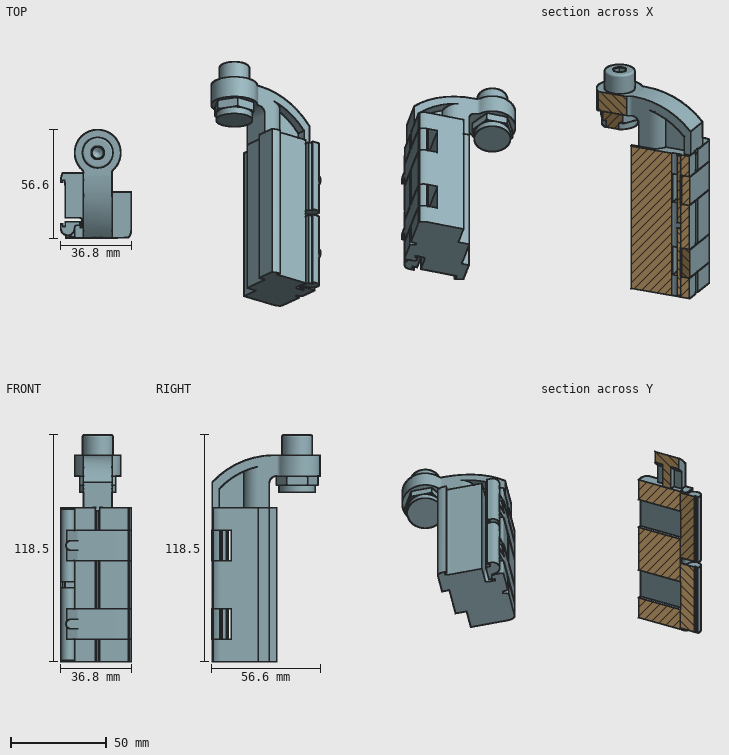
import cadquery as cq
import math


total_height = 118.5
housing_height = 80.5
arm_top = 108.0

left_x = -19.3
right_x = 17.5
housing_back_y = -10.5
shoulder_y = -20.4
front_y = -44.3
left_wall_x = -17.1
left_wall_taper = 0.2
left_wall_taper_y = -17.1
lip_y = -15.4
lip_root_y = -14.5
lip_tip_width = 1.0
lip_root_width = 1.2
lip_curve_y = -14.7
lip_curve_depth = 1.0
strip_groove_back_y = -34.0
clip_slot_back_y = -34.5
strip_groove_end_x = -8.3
toe_left_x = -12.1
toe_top_y = -37.8
toe_back_radius = 1.4
toe_front_radius = 0.7
toe_arc_inset = toe_back_radius * (1 - math.sqrt(0.5))
toe_arc_mid = (toe_left_x + toe_arc_inset, toe_top_y - toe_arc_inset)
toe_pocket_x = -9.1
toe_pocket_y = -39.1
groove_end_radius = 1.2
corner_side_y = -40.3
corner_arc_mid = (17.3, -42.1)
corner_arc_end = (16.6, -43.7)
corner_front_x = 15.9

front_groove_width = 2.4
front_groove_depth = 3.0
front_groove_floor_width = 1.0

strip_radius = 3.5
strip_axis_x = left_x + strip_radius
strip_axis_y = -39.6
strip_front_y = strip_axis_y - strip_radius
strip_back_y = -36.0
strip_step_y = -37.1
strip_notch_y = -38.4
strip_end_inset = 0.7
strip_gap = 3.0
strip_length = (housing_height - strip_gap - 2 * strip_end_inset) / 2
strip_bottoms = [strip_end_inset, strip_end_inset + strip_length + strip_gap]

clip_height = 15.9
clip_front_y = -44.5
clip_bend_x = -10.5
clip_tab_end = (-16.2, -43.1)
clip_taper_x = 9.4
tongue_width = 4.9
tongue_tip_x = -16.6
clip_bottoms = [z + (strip_length - clip_height) / 2 for z in strip_bottoms]

arm_width = 14.9
ring_diameter = 24.2
ring_thickness = 11.0
ring_blend_radius = 2.4
arch_start_y = -11.8
arch_radius = 44.3
rim_thickness = 5.1
front_wall = 3.7
post_back_y = -14.5
post_round_y = -20.9
underside_radius = 3.8
web_thickness = 5.2
key_height = 1.7
key_relief_width = 4.7
key_relief_height = 0.4

head_diameter = 16.0
head_top_diameter = 13.6
shank_diameter = 10.0
socket_across_flats = 6.0
socket_lead_in_diameter = 7.0
socket_depth = 5.0
drill_point_angle = 118.0
nut_across_flats = 19.0
nut_hex_height = 4.9
nut_corner_chamfer = 0.4
nut_collar_diameter = 19.0
nut_collar_height = 3.7


def box(x_range, y_range, z_range):
    """Box between the given limits along X, Y and Z."""
    size = [high - low for low, high in (x_range, y_range, z_range)]
    return cq.Workplane("XY").box(*size, centered=False).translate((x_range[0], y_range[0], z_range[0]))


def make_front_groove(bottom, top):
    """Solid shape of the tapered groove in the housing front between two heights."""
    half_width = front_groove_width / 2
    half_floor = front_groove_floor_width / 2
    floor_y = front_y + front_groove_depth
    return (
        cq.Workplane("XY")
        .workplane(offset=bottom)
        .moveTo(-half_width, front_y)
        .lineTo(half_width, front_y)
        .lineTo(half_floor, floor_y)
        .lineTo(-half_floor, floor_y)
        .close()
        .extrude(top - bottom)
    )


def make_housing():
    curve_length = housing_back_y - lip_curve_y
    curve_radius = (curve_length**2 + lip_curve_depth**2) / (2 * lip_curve_depth)
    curve_mid_x = left_x + curve_radius - math.sqrt(curve_radius**2 - (curve_length / 2) ** 2)
    curve_mid_y = lip_curve_y + curve_length / 2
    body = (
        cq.Workplane("XY")
        .moveTo(left_x + lip_curve_depth, housing_back_y)
        .threePointArc((curve_mid_x, curve_mid_y), (left_x, lip_curve_y))
        .lineTo(left_x, lip_y)
        .lineTo(left_x + lip_tip_width, lip_y)
        .lineTo(left_x + lip_root_width, lip_root_y)
        .lineTo(left_wall_x - left_wall_taper, lip_root_y)
        .lineTo(left_wall_x, left_wall_taper_y)
        .lineTo(left_wall_x, strip_groove_back_y)
        .lineTo(strip_groove_end_x, strip_groove_back_y)
        .lineTo(strip_groove_end_x, toe_pocket_y)
        .lineTo(toe_pocket_x, toe_pocket_y)
        .lineTo(toe_pocket_x, toe_top_y)
        .lineTo(toe_left_x + toe_back_radius, toe_top_y)
        .threePointArc(toe_arc_mid, (toe_left_x, toe_top_y - toe_back_radius))
        .lineTo(toe_left_x, front_y)
        .lineTo(corner_front_x, front_y)
        .lineTo(*corner_arc_end)
        .threePointArc(corner_arc_mid, (right_x, corner_side_y))
        .lineTo(right_x, shoulder_y)
        .lineTo(arm_width / 2, shoulder_y)
        .lineTo(arm_width / 2, post_back_y)
        .lineTo(-arm_width / 2, post_back_y)
        .lineTo(-arm_width / 2, housing_back_y)
        .close()
        .extrude(housing_height)
    )

    def upright_edge(x, y):
        return cq.selectors.NearestToPointSelector((x, y, housing_height / 2))

    body = body.edges(upright_edge(strip_groove_end_x, strip_groove_back_y)).fillet(groove_end_radius)
    body = body.edges(upright_edge(toe_left_x, front_y)).fillet(toe_front_radius)

    body = body.cut(make_front_groove(0, housing_height))

    for bottom in clip_bottoms:
        slot_heights = (bottom, bottom + clip_height)
        body = body.cut(box((left_wall_x, right_x), (front_y, clip_slot_back_y), slot_heights))
    return body


def make_strip(bottom):
    """Half-round strip with a lip on the left and a hook behind the housing toe."""
    return (
        cq.Workplane("XY")
        .workplane(offset=bottom)
        .moveTo(left_x, strip_axis_y)
        .lineTo(left_x, strip_step_y)
        .lineTo(left_x + lip_tip_width, strip_step_y)
        .lineTo(left_x + lip_root_width, strip_notch_y)
        .lineTo(left_wall_x, strip_notch_y)
        .lineTo(left_wall_x, strip_back_y)
        .lineTo(toe_pocket_x, strip_back_y)
        .lineTo(toe_pocket_x, strip_step_y)
        .lineTo(strip_groove_end_x, strip_step_y)
        .lineTo(strip_groove_end_x, toe_pocket_y)
        .lineTo(toe_pocket_x, toe_pocket_y)
        .lineTo(toe_pocket_x, toe_top_y)
        .lineTo(toe_left_x + toe_back_radius, toe_top_y)
        .threePointArc(toe_arc_mid, (toe_left_x, toe_top_y - toe_back_radius))
        .lineTo(strip_axis_x + strip_radius, strip_axis_y)
        .threePointArc((strip_axis_x, strip_front_y), (left_x, strip_axis_y))
        .close()
        .extrude(strip_length)
    )


def make_clip(bottom):
    """Clip with a bent-back tab that bears on the strip and a flat tongue in the middle."""
    arc_offset = strip_radius * math.sqrt(0.5)
    plate = (
        cq.Workplane("XY")
        .workplane(offset=bottom)
        .moveTo(strip_axis_x, strip_front_y)
        .threePointArc(
            (strip_axis_x + arc_offset, strip_axis_y - arc_offset),
            (strip_axis_x + strip_radius, strip_axis_y),
        )
        .lineTo(right_x, strip_axis_y)
        .lineTo(right_x, corner_side_y)
        .threePointArc(corner_arc_mid, corner_arc_end)
        .lineTo(corner_front_x, front_y)
        .lineTo(clip_taper_x, clip_front_y)
        .lineTo(clip_bend_x, clip_front_y)
        .lineTo(*clip_tab_end)
        .close()
        .extrude(clip_height)
    )
    middle_z = bottom + clip_height / 2
    half_width = tongue_width / 2
    tongue_y = (clip_front_y, strip_front_y)
    round_x = tongue_tip_x + half_width
    tongue = box((round_x, clip_bend_x), tongue_y, (middle_z - half_width, middle_z + half_width))
    tongue_end = (
        cq.Workplane("XZ", origin=(round_x, strip_front_y, middle_z))
        .circle(half_width)
        .extrude(strip_front_y - clip_front_y)
    )
    return plate.union(tongue.union(tongue_end))


def side_extrusion(outline, x_range):
    """Extrude an outline drawn in Y and Z between two X positions."""
    return outline.extrude(x_range[1] - x_range[0]).translate((x_range[0], 0, 0))


def arch_z(radius, y):
    """Height at the given Y of an arc about the arch centre."""
    return arm_top - arch_radius + math.sqrt(radius**2 - (y - arch_start_y) ** 2)


def arch_point(radius, y_start, y_end):
    y = (y_start + y_end) / 2
    return y, arch_z(radius, y)


def make_ring():
    """Ring around the screw, blended into the sides of the arm."""
    half_width = arm_width / 2
    ring_radius = ring_diameter / 2
    blend_x = half_width + ring_blend_radius
    blend_y = -math.sqrt((ring_radius + ring_blend_radius) ** 2 - blend_x**2)
    touch_ratio = ring_radius / (ring_radius + ring_blend_radius)
    touch_x = blend_x * touch_ratio
    touch_y = blend_y * touch_ratio
    distance = math.hypot(touch_x - half_width, touch_y - blend_y)
    blend_angle = math.asin(distance / 2 / ring_blend_radius)
    blend_mid_x = blend_x - ring_blend_radius * math.cos(blend_angle)
    blend_mid_y = blend_y + ring_blend_radius * math.sin(blend_angle)
    return (
        cq.Workplane("XY")
        .workplane(offset=arm_top - ring_thickness)
        .moveTo(half_width, arch_start_y)
        .lineTo(half_width, blend_y)
        .threePointArc((blend_mid_x, blend_mid_y), (touch_x, touch_y))
        .threePointArc((0, ring_radius), (-touch_x, touch_y))
        .threePointArc((-blend_mid_x, blend_mid_y), (-half_width, blend_y))
        .lineTo(-half_width, arch_start_y)
        .close()
        .extrude(ring_thickness)
    )


def make_arm():
    half_width = arm_width / 2
    underside_z = arm_top - ring_thickness
    fillet_y = post_back_y + underside_radius
    fillet_z = underside_z - underside_radius
    fillet_mid = underside_radius * math.sqrt(0.5)
    arch = side_extrusion(
        cq.Workplane("YZ")
        .moveTo(arch_start_y, arm_top)
        .threePointArc(
            arch_point(arch_radius, arch_start_y, front_y),
            (front_y, arch_z(arch_radius, front_y)),
        )
        .lineTo(front_y, housing_height)
        .lineTo(post_back_y, housing_height)
        .lineTo(post_back_y, fillet_z)
        .threePointArc((fillet_y - fillet_mid, fillet_z + fillet_mid), (fillet_y, underside_z))
        .lineTo(fillet_y, arm_top)
        .close(),
        (-half_width, half_width),
    )
    arm = arch.union(make_ring())

    inner_radius = arch_radius - rim_thickness
    recess_front_y = front_y + front_wall
    recess = side_extrusion(
        cq.Workplane("YZ")
        .moveTo(post_round_y, housing_height)
        .lineTo(post_round_y, arch_z(inner_radius, post_round_y))
        .threePointArc(
            arch_point(inner_radius, post_round_y, recess_front_y),
            (recess_front_y, arch_z(inner_radius, recess_front_y)),
        )
        .lineTo(recess_front_y, housing_height)
        .close(),
        (-half_width, half_width),
    )
    post = (
        cq.Workplane("XY", origin=(0, post_round_y, housing_height))
        .circle(half_width)
        .extrude(arm_top - housing_height)
    )
    half_web = web_thickness / 2
    web = box((-half_web, half_web), (front_y, post_back_y), (housing_height, arm_top))
    arm = arm.cut(recess.cut(post).cut(web))

    half_relief = key_relief_width / 2
    relief_top = housing_height + key_relief_height
    relief = box(
        (-half_relief, half_relief),
        (front_y, front_y + front_groove_depth),
        (housing_height, relief_top),
    )
    arm = arm.cut(relief).union(make_front_groove(housing_height - key_height, relief_top))

    screw_hole = (
        cq.Workplane("XY")
        .workplane(offset=underside_z)
        .circle(shank_diameter / 2)
        .extrude(ring_thickness)
    )
    return arm.cut(screw_hole)


def make_pivot_screw():
    """Socket-head screw carrying a collared hexagon nut under the arm."""
    underside_z = arm_top - ring_thickness
    head = (
        cq.Workplane("XY")
        .workplane(offset=arm_top)
        .circle(head_diameter / 2)
        .extrude(total_height - arm_top)
        .faces(">Z")
        .edges()
        .fillet((head_diameter - head_top_diameter) / 2)
    )
    shank = (
        cq.Workplane("XY")
        .workplane(offset=underside_z)
        .circle(shank_diameter / 2)
        .extrude(ring_thickness)
    )
    nut_hex = (
        cq.Workplane("XY")
        .workplane(offset=underside_z - nut_hex_height)
        .polygon(6, nut_across_flats, circumscribed=True)
        .extrude(nut_hex_height)
    )
    corner_cylinder = (
        cq.Workplane("XY")
        .workplane(offset=underside_z - nut_hex_height)
        .circle(nut_across_flats / math.sqrt(3))
        .extrude(nut_hex_height)
        .edges()
        .chamfer(nut_corner_chamfer)
    )
    nut_hex = nut_hex.intersect(corner_cylinder)
    nut_collar = (
        cq.Workplane("XY")
        .workplane(offset=underside_z - nut_hex_height - nut_collar_height)
        .circle(nut_collar_diameter / 2)
        .extrude(nut_collar_height)
    )
    screw = head.union(shank).union(nut_hex).union(nut_collar)

    socket_bottom = total_height - socket_depth
    socket_radius = socket_across_flats / 2
    point_depth = socket_radius / math.tan(math.radians(drill_point_angle / 2))
    socket = (
        cq.Workplane("XY")
        .workplane(offset=socket_bottom)
        .polygon(6, socket_across_flats, circumscribed=True)
        .extrude(socket_depth)
    )
    lead_in_radius = socket_lead_in_diameter / 2
    lead_in_depth = lead_in_radius - socket_radius
    lead_in = cq.Workplane(
        cq.Solid.makeCone(
            socket_radius, lead_in_radius, lead_in_depth, pnt=cq.Vector(0, 0, total_height - lead_in_depth)
        )
    )
    drill_point = cq.Workplane(
        cq.Solid.makeCone(0, socket_radius, point_depth, pnt=cq.Vector(0, 0, socket_bottom - point_depth))
    )
    return screw.cut(socket).cut(lead_in).cut(drill_point)


housing = make_housing()
arm = make_arm()
pivot_screw = make_pivot_screw()
strips = [make_strip(bottom) for bottom in strip_bottoms]
clips = [make_clip(bottom) for bottom in clip_bottoms]

result = cq.Compound.makeCompound(
    [housing.val(), arm.val(), pivot_screw.val()]
    + [strip.val() for strip in strips]
    + [clip.val() for clip in clips]
)